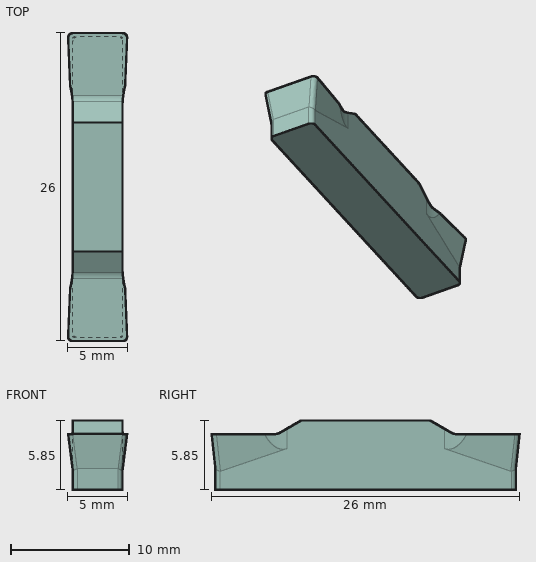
import cadquery as cq
import math


overall_width = 5.0
overall_length = 26.0
overall_height = 5.85

shank_width = 4.2
shank_length = 25.37
corner_radius = 0.4

rake_height = 4.7
raised_length = 10.9
shoulder_angle = 30.0
shoulder_root_radius = 1.0

side_draft = 7.0
end_draft = 6.2
side_relief = 2.4
head_floor = 1.0
head_inner_end = 6.65
flank_blend_radius = 8.0

half_width = overall_width / 2
half_length = overall_length / 2
half_shank = shank_width / 2
widest_y = half_length - corner_radius


def make_shank():
    """Full-height bar with rounded vertical corners."""
    bar = cq.Workplane("XY").box(shank_width, shank_length, overall_height, centered=(True, True, False))
    return bar.edges("|Z").fillet(corner_radius)


def head_section(height):
    """Corner points of the drafted head at the given height, starting at the inner end."""
    drop = rake_height - height
    end_y = half_length - drop * math.tan(math.radians(end_draft))

    def side_x(y):
        relief = (widest_y - y) * math.tan(math.radians(side_relief))
        return half_width - relief - drop * math.tan(math.radians(side_draft))

    inner_x = side_x(head_inner_end)
    outer_x = side_x(end_y)
    return [
        (-inner_x, head_inner_end),
        (inner_x, head_inner_end),
        (outer_x, end_y),
        (-outer_x, end_y),
    ]


def make_flank_limit():
    """Prism whose concave sides blend the head into the shank near its inner end."""
    side_limit = overall_width
    end_limit = overall_length
    rise = half_width - half_shank
    run = math.sqrt(flank_blend_radius**2 - (flank_blend_radius - rise) ** 2)
    sweep = math.asin(run / flank_blend_radius)
    mid_x = half_shank + flank_blend_radius * (1 - math.cos(sweep / 2))
    mid_y = head_inner_end + flank_blend_radius * math.sin(sweep / 2)
    arc_end_y = head_inner_end + run
    return (
        cq.Workplane("XY")
        .moveTo(-half_shank, head_inner_end)
        .lineTo(half_shank, head_inner_end)
        .threePointArc((mid_x, mid_y), (half_width, arc_end_y))
        .lineTo(side_limit, arc_end_y)
        .lineTo(side_limit, end_limit)
        .lineTo(-side_limit, end_limit)
        .lineTo(-side_limit, arc_end_y)
        .lineTo(-half_width, arc_end_y)
        .threePointArc((-mid_x, mid_y), (-half_shank, head_inner_end))
        .close()
        .extrude(overall_height)
    )


def make_head():
    """Drafted cutting head at the +Y end, with rounded nose corners."""
    block = (
        cq.Workplane("XY", origin=(0, 0, head_floor))
        .polyline(head_section(head_floor))
        .close()
        .workplane(offset=overall_height - head_floor)
        .polyline(head_section(overall_height))
        .close()
        .loft(ruled=True)
    )
    nose_edges = block.faces(">Y").edges("not #Z")
    return nose_edges.fillet(corner_radius).intersect(make_flank_limit())


def make_top_profile():
    """Lengthwise outline extruded across the width, with rounded shoulder roots."""
    shoulder_run = (overall_height - rake_height) / math.tan(math.radians(shoulder_angle))
    raised_y = raised_length / 2
    root_y = raised_y + shoulder_run
    profile = (
        cq.Workplane("YZ")
        .polyline([
            (-half_length, 0),
            (half_length, 0),
            (half_length, rake_height),
            (root_y, rake_height),
            (raised_y, overall_height),
            (-raised_y, overall_height),
            (-root_y, rake_height),
            (-half_length, rake_height),
        ])
        .close()
        .extrude(half_width, both=True)
    )
    for side in (-1, 1):
        root_point = (0, side * root_y, rake_height)
        profile = profile.edges(cq.NearestToPointSelector(root_point)).fillet(shoulder_root_radius)
    return profile


head = make_head()
insert = make_shank().union(head).union(head.mirror("XZ"))
result = insert.intersect(make_top_profile())